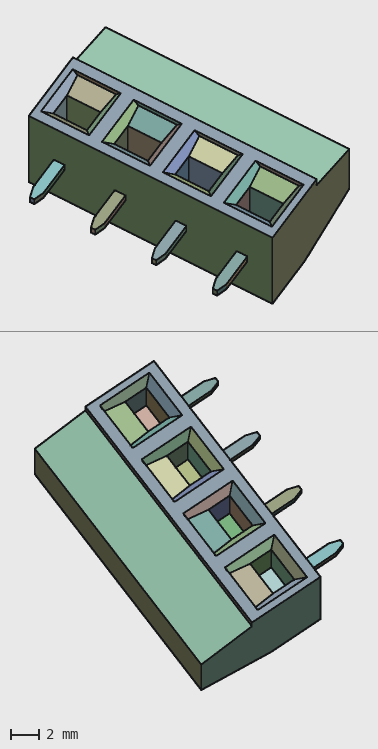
import cadquery as cq

pole_count = 4
length = 20.32
pole_pitch = length / pole_count
depth = 10.42
height = 8.1

step_y = 6.0
step_drop = 0.73
back_top_drop = 1.6
back_bottom_rise = 1.6
flat_bottom_depth = 4.37

mouth_width = 4.0
mouth_front_y = 0.8
mouth_back_y = 5.1
mouth_depth = 0.65
ledge_start_depth = 0.43
well_width = 2.8
well_front_y = 1.48
well_back_y = 3.33
well_floor_z = height / 2

total_depth = 14.1
pin_length = total_depth - depth
pin_width = 0.9
pin_thickness = 0.6
pin_center_z = 3.98
pin_tip_width = 0.37
pin_taper_length = 0.83
pin_root = 0.2


def make_housing():
    """Stepped side profile drawn in YZ and extruded along X."""
    profile = [
        (0, 0),
        (0, height),
        (step_y, height),
        (step_y, height - step_drop),
        (depth, height - back_top_drop),
        (depth, back_bottom_rise),
        (flat_bottom_depth, 0),
    ]
    return cq.Workplane("YZ").polyline(profile).close().extrude(length)


def make_screw_opening(center_x):
    """Mouth with drafted sides and front, a sloping ledge at the back, and a well below."""
    mouth_section = [
        (mouth_front_y, height),
        (mouth_back_y, height),
        (mouth_back_y, height - ledge_start_depth),
        (well_back_y, height - mouth_depth),
        (well_front_y, height - mouth_depth),
    ]
    mouth = (
        cq.Workplane("YZ", origin=(center_x - mouth_width / 2, 0, 0))
        .polyline(mouth_section)
        .close()
        .extrude(mouth_width)
    )
    side_draft = (
        cq.Workplane("XZ")
        .polyline([
            (center_x - mouth_width / 2, height),
            (center_x + mouth_width / 2, height),
            (center_x + well_width / 2, height - mouth_depth),
            (center_x - well_width / 2, height - mouth_depth),
        ])
        .close()
        .extrude(-depth)
    )
    well_length = well_back_y - well_front_y
    well = cq.Workplane("XY").box(
        well_width, well_length, height - mouth_depth - well_floor_z, centered=(True, False, False)
    ).translate((center_x, well_front_y, well_floor_z))
    return mouth.intersect(side_draft).union(well)


def make_pin(center_x):
    """Flat pin pointing toward -Y, tapered in width to a blunt tip."""
    outline = [
        (-pin_width / 2, pin_root),
        (-pin_width / 2, pin_taper_length - pin_length),
        (-pin_tip_width / 2, -pin_length),
        (pin_tip_width / 2, -pin_length),
        (pin_width / 2, pin_taper_length - pin_length),
        (pin_width / 2, pin_root),
    ]
    pin = cq.Workplane("XY").polyline(outline).close().extrude(pin_thickness)
    return pin.translate((center_x, 0, pin_center_z - pin_thickness / 2))


result = make_housing()
for pole in range(pole_count):
    pole_x = (pole + 0.5) * pole_pitch
    result = result.cut(make_screw_opening(pole_x)).union(make_pin(pole_x))